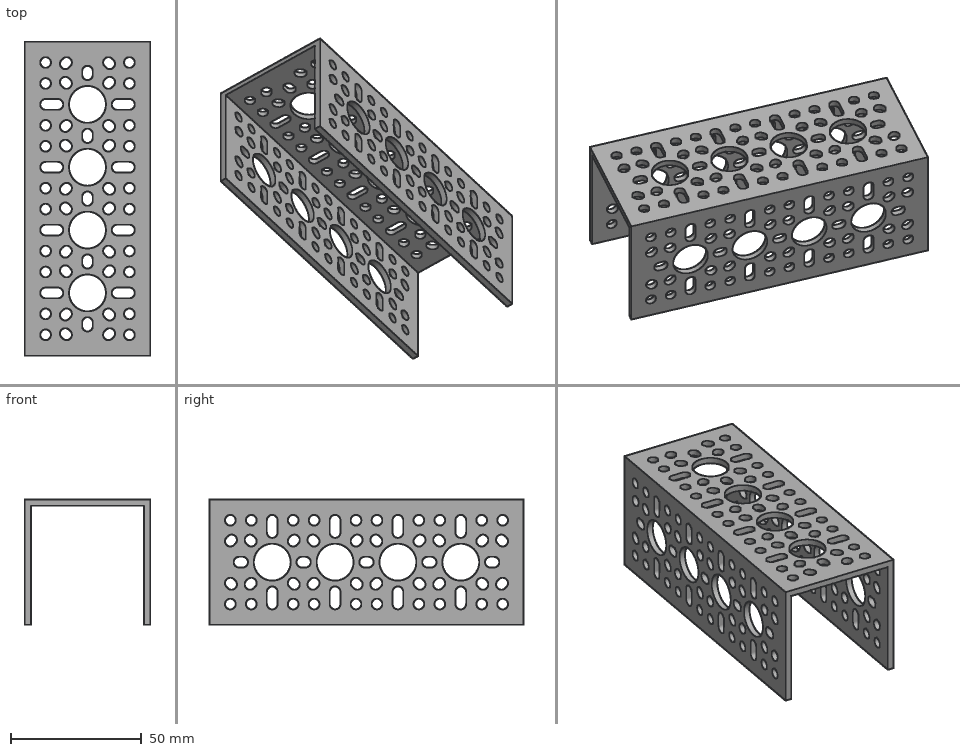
import cadquery as cq
import math

WIDTH = 48.0
HEIGHT = 48.0
LENGTH = 120.0
WALL = 2.5

PITCH = 24.0
BORE_COUNT = 4
BORE_DIAMETER = 14.0
HOLE_DIAMETER = 4.0
GRID = 8.0

INNER_RADIUS = GRID * math.sqrt(2)
DIAGONAL_OUTER_RADIUS = PITCH / 2
LONG_SLOT_OUTER = 2 * GRID


def channel():
    """U section with square corners, extruded along Y."""
    outer = cq.Workplane("XY").box(WIDTH, LENGTH, HEIGHT)
    inside = cq.Workplane("XY").box(WIDTH - 2 * WALL, LENGTH, HEIGHT).translate((0, 0, -WALL))
    return outer.cut(inside)


def holes(points, diameter, depth):
    """Round cutters on the XY plane, extruded equally up and down."""
    return cq.Workplane("XY").pushPoints(points).circle(diameter / 2).extrude(depth / 2, both=True)


def slots(points, first_centre, last_centre, angle, depth):
    """Slot cutters lying on a ray from each point, given the distances of their two arc centres."""
    middle = (first_centre + last_centre) / 2
    offset_x = middle * math.cos(math.radians(angle))
    offset_y = middle * math.sin(math.radians(angle))
    centres = [(x + offset_x, y + offset_y) for x, y in points]
    overall = last_centre - first_centre + HOLE_DIAMETER
    sketch = cq.Workplane("XY").pushPoints(centres).slot2D(overall, HOLE_DIAMETER, angle)
    return sketch.extrude(depth / 2, both=True)


def pattern_cutters(depth):
    """All cutters of one wall's pattern, extending half of depth up and down from the XY plane."""
    first_bore = -(BORE_COUNT - 1) * PITCH / 2
    bores = [(0, first_bore + i * PITCH) for i in range(BORE_COUNT)]
    end_centre = first_bore - PITCH
    pattern_centres = [(0, end_centre)] + bores + [(0, -end_centre)]
    outer_holes = [
        (side * 2 * GRID, y + end * GRID)
        for _, y in pattern_centres
        for side in (-1, 1)
        for end in (-1, 1)
    ]
    short_slot_origins = pattern_centres[:-1]

    cutters = [
        holes(bores, BORE_DIAMETER, depth),
        holes(outer_holes, HOLE_DIAMETER, depth),
        slots(short_slot_origins, INNER_RADIUS, PITCH - INNER_RADIUS, 90, depth),
    ]
    for angle in (0, 180):
        cutters.append(slots(bores, INNER_RADIUS, LONG_SLOT_OUTER, angle, depth))
    for angle in (45, 135, 225, 315):
        cutters.append(slots(pattern_centres, INNER_RADIUS, DIAGONAL_OUTER_RADIUS, angle, depth))
    return cutters


result = channel()

for cutter in pattern_cutters(4 * WALL):
    result = result.cut(cutter.translate((0, 0, HEIGHT / 2)))

for cutter in pattern_cutters(2 * WIDTH):
    result = result.cut(cutter.rotate((0, 0, 0), (0, 1, 0), 90))